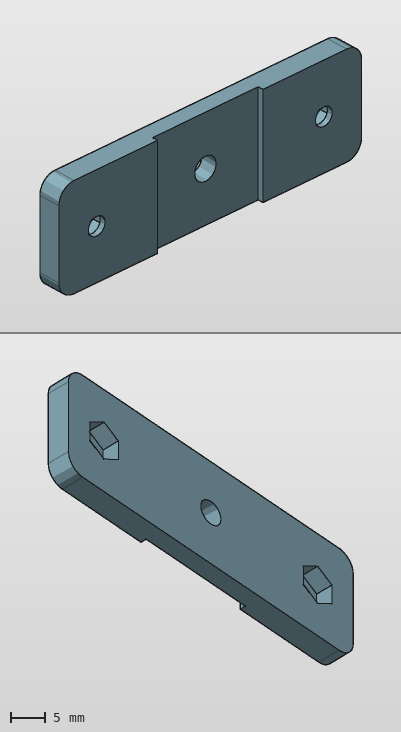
import cadquery as cq

thickness = 4.0
length = 60
height = 19.0
corner_radius = 3

center_hole_diameter = 4.2
bolt_hole_diameter = 3.3
bolt_offset = 22.5

nut_corner_width = 6.9
nut_pocket_depth = 3

channel_width = 20.9
channel_depth = 1.0

front_x = -thickness / 2
back_x = thickness / 2
bolt_positions = [(-bolt_offset, 0), (bolt_offset, 0)]


def make_plate():
    plate = cq.Workplane("XY").box(thickness, length, height)
    return plate.edges("|X").fillet(corner_radius)


def make_holes():
    face = cq.Workplane("YZ", origin=(front_x, 0, 0))
    center_hole = face.circle(center_hole_diameter / 2).extrude(thickness)
    bolt_holes = face.pushPoints(bolt_positions).circle(bolt_hole_diameter / 2).extrude(thickness)
    return center_hole.union(bolt_holes)


def make_nut_pockets():
    face = cq.Workplane(cq.Plane(origin=(front_x, 0, 0), xDir=(0, 0, 1), normal=(1, 0, 0)))
    centers = [(z, -y) for y, z in bolt_positions]
    return face.pushPoints(centers).polygon(6, nut_corner_width).extrude(nut_pocket_depth)


def make_channel():
    channel_center_x = back_x - channel_depth / 2
    return cq.Workplane("XY", origin=(channel_center_x, 0, 0)).box(channel_depth, channel_width, height)


result = make_plate().cut(make_holes()).cut(make_nut_pockets()).cut(make_channel())